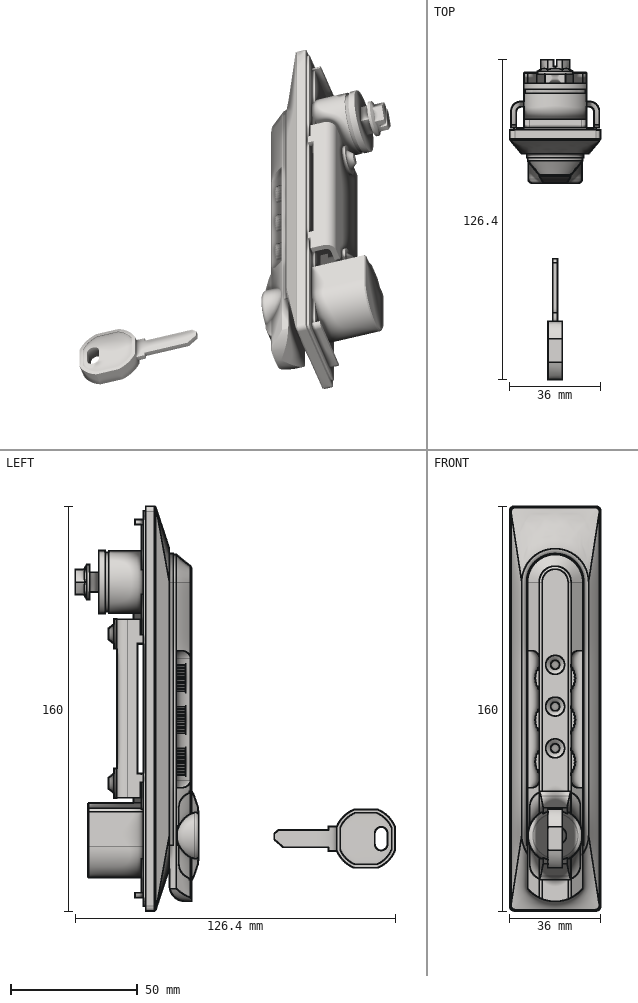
import cadquery as cq
import math


plate_width = 36.0
plate_length = 160.0
plate_corner = 2.0
rim_depth = 3.5
rim_chamfer = 0.6
crown_y = -9.4
crown_radius = 13.2
pivot_z = 50.0
back_step = 0.85
back_pad_width = 32.6
back_pad_length = 156.4
seat_y = 1.8
seat_width = 22.8
seat_inner_z = 25.8
seat_outer_z = 72.7
tab_width = 24.6
tab_height = 2.1
tab_round = 2.0
tab_y = 4.2
post_pad_y = 4.85
post_pad_outer_z = 37.6
post_radius = 4.0

sleeve_radius = 12.4
sleeve_end_y = 14.5
groove_radius = 11.8
groove_width = 1.5
cap_radius = 12.5
cap_end_y = 18.5
shank_side = 7.9
flange_y = 22.1
flange_radius = 7.0
flange_thickness = 1.1
hex_start_y = 24.3
hex_end_y = 27.8
hex_flats = 10.0
hex_slot_width = 1.2
hex_slot_depth = 2.7

box_radius = 12.4
box_center_z = -54.4
box_end_y = 22.9
box_shoulder_z = -39.3
box_crest_z = -37.3
box_crest_half = 4.1
box_crest_foot = 7.2
box_corner = 1.5
box_edge = 0.5

handle_half = 10.9
lip_half = 11.3
lip_y = -11.0
lip_end_z = -54.0
slope_y = -12.1
ridge_half = 6.3
ridge_y = -17.75
face_half = 5.1
face_y = -18.35
handle_tip_z = -76.2
handle_tip_side_z = -71.1
tip_round = 6.4

dial_count = 3
dial_pitch = 16.5
first_dial_z = 12.0
dial_radius = 8.05
dial_teeth = 36
tooth_depth = 0.4
dial_back_y = -12.2
dial_front_y = -15.7
dial_clearance = 0.15
window_shift = 5.3
window_radius = 3.75
window_floor_radius = 1.75
window_cone_depth = 2.2
pocket_top_z = 22.9
pocket_bottom_z = -31.3
pocket_corner = 3.0

knob_z = -50.2
knob_radius = 10.7
knob_round = 1.8
knob_back_y = -12.5
knob_face_y = -21.1
insert_half_width = 10.0
insert_half_length = 17.5
insert_corner = 6.0
insert_floor_y = -12.0
wing_half_width = 6.2
wing_crest_half = 11.1
wing_crest_y = -20.8
wing_foot_y = -19.2
wing_foot_half = 15.8
wing_edge = 1.5
flare_front_y = -19.0
flare_corners = [(6.2, 11.0), (8.6, 8.4), (9.9, 5.0)]
wing_root_y = -13.0
keyway_width = 1.9
keyway_length = 11.4
keyway_depth = 2.5
keyway_round_radius = 3.5

bracket_width = 35.0
bracket_length = 70.6
bracket_wall = 2.2
bracket_bend = 4.0
bracket_back_y = 11.3
bracket_edge_y = 3.1
foot_y = 2.0
toe_width = 3.4
screw_z = 29.5
screw_shank_radius = 2.0
screw_flange_radius = 5.9
screw_flange_thickness = 1.2
screw_dome_base = 3.9
screw_top_radius = 2.2
screw_top_y = 14.65
screw_tip_y = 0.5

key_z = -51.4
key_head_y = -87.05
key_head_radius = 12.45
key_head_flats = 23.1
key_head_thickness = 5.7
key_rim = 1.4
key_panel_depth = 0.3
key_blade_thickness = 1.9
key_blade_height = 6.9
key_tip_y = -50.8
key_collar_y = -72.2
key_collar_height = 9.8
key_tip_top = 2.0
key_tip_bottom = -0.3
key_tip_top_run = 1.7
key_tip_bottom_run = 3.6
key_hole_y = -93.1
key_hole_width = 4.9
key_hole_length = 9.2


def at_y(y, x=0.0, z=0.0):
    """Sketch plane facing -Y; its local axes are X and Z, and extruding moves toward -Y."""
    return cq.Workplane("XZ", origin=(x, y, z))


def box_between(x_half, y_range, z_range):
    """Box symmetric in X between two y and two z values."""
    depth = y_range[1] - y_range[0]
    height = z_range[1] - z_range[0]
    middle = (0, sum(y_range) / 2, sum(z_range) / 2)
    return cq.Workplane().box(2 * x_half, depth, height).translate(middle)


def turned(profile, z):
    """Solid of revolution about a line along Y at height z; profile lists (radius, y)."""
    flat = cq.Workplane("XY").polyline(profile).close()
    return flat.revolve(360, (0, 0, 0), (0, 1, 0)).translate((0, 0, z))


def mirrored_z(body):
    """The body together with its mirror image about the z = 0 plane."""
    return body.union(body.mirror("XY"))


def housing_crown():
    """Ruled slopes from the rectangular rim up to the round-ended front face."""
    half_x = plate_width / 2 - rim_chamfer / 2
    half_z = plate_length / 2 - rim_chamfer
    rim_y = -rim_depth - rim_chamfer
    r, zc = crown_radius, pivot_z
    base = at_y(rim_y).polyline(
        [(-half_x, -half_z), (-half_x, half_z), (half_x, half_z), (half_x, -half_z)]).close()
    top = (
        at_y(crown_y).moveTo(-r, -zc).lineTo(-r, zc).threePointArc((0, zc + r), (r, zc))
        .lineTo(r, -zc).threePointArc((0, -zc - r), (-r, -zc)).close()
    )
    loft = cq.Solid.makeLoft([base.wires().val(), top.wires().val()], True)
    outline = (
        at_y(0).rect(plate_width, plate_length).extrude(-crown_y).edges("|Y").fillet(plate_corner)
    )
    return cq.Workplane(loft).intersect(outline)


def housing_plate():
    rim = at_y(0).rect(plate_width, plate_length).extrude(rim_depth + rim_chamfer)
    rim = rim.edges("|Y").fillet(plate_corner).faces("<Y").chamfer(rim_chamfer)
    pad = at_y(back_step).rect(back_pad_width, back_pad_length).extrude(back_step)
    pad = pad.edges("|Y").fillet(plate_corner)
    return rim.union(pad).union(housing_crown())


def housing_back():
    """Seats, locating tabs and screw posts, the same at both ends."""
    seat = box_between(seat_width / 2, (0, seat_y), (seat_inner_z, seat_outer_z))
    tab = box_between(tab_width / 2, (0, tab_y), (seat_outer_z, seat_outer_z + tab_height))
    tab = tab.edges("|Y and >Z").fillet(tab_round)
    post_pad = box_between(post_radius, (0, post_pad_y), (seat_inner_z, post_pad_outer_z))
    post_end_y = bracket_back_y - bracket_wall
    post = at_y(post_end_y, z=screw_z).circle(post_radius).extrude(post_end_y)
    return mirrored_z(seat.union(tab).union(post_pad).union(post))


def screw_holes():
    depth = bracket_back_y - screw_tip_y
    return mirrored_z(at_y(bracket_back_y, z=screw_z).circle(screw_shank_radius).extrude(depth))


def lock_box():
    side_z = box_shoulder_z - box_corner
    outline = (
        at_y(box_end_y).moveTo(box_radius, box_center_z).lineTo(box_radius, side_z)
        .lineTo(box_radius - box_corner, box_shoulder_z).lineTo(box_crest_foot, box_shoulder_z)
        .lineTo(box_crest_half, box_crest_z).lineTo(-box_crest_half, box_crest_z)
        .lineTo(-box_crest_foot, box_shoulder_z).lineTo(-box_radius + box_corner, box_shoulder_z)
        .lineTo(-box_radius, side_z).lineTo(-box_radius, box_center_z)
        .threePointArc((0, box_center_z - box_radius), (box_radius, box_center_z)).close()
    )
    return outline.extrude(box_end_y).faces(">Y").chamfer(box_edge)


def spindle_end():
    """Sleeve, cap, square shank and slotted hexagon flange bolt on the pivot axis."""
    cap_start_y = sleeve_end_y + groove_width
    stack = turned([
        (0, 0), (sleeve_radius, 0), (sleeve_radius, sleeve_end_y),
        (groove_radius, sleeve_end_y), (groove_radius, cap_start_y),
        (cap_radius, cap_start_y), (cap_radius, cap_end_y),
        (0, cap_end_y)], pivot_z)
    shank = at_y(flange_y, z=pivot_z).rect(shank_side, shank_side).extrude(flange_y - cap_end_y)
    flange = turned([
        (0, flange_y), (flange_radius, flange_y), (flange_radius, flange_y + flange_thickness),
        (hex_flats / 2, hex_start_y), (0, hex_start_y)], pivot_z)
    across_corners = hex_flats / math.cos(math.pi / 6)
    hexagon = at_y(hex_end_y, z=pivot_z).polygon(6, across_corners).extrude(hex_end_y - flange_y)
    slot = at_y(hex_end_y, z=pivot_z).rect(hex_slot_width, across_corners).extrude(hex_slot_depth)
    return stack.union(shank).union(flange).union(hexagon).cut(slot)


def make_housing():
    body = housing_plate().union(housing_back()).union(lock_box()).union(spindle_end())
    return body.cut(screw_holes())


def handle_bar():
    """Ridged bar: one half section swept down the handle and turned around its top end."""
    edge = [(handle_half, slope_y), (ridge_half, ridge_y), (face_half, face_y)]
    right = [(handle_half, crown_y)] + edge
    left = [(-x, y) for x, y in reversed(right)]
    length = pivot_z - handle_tip_z
    bar = cq.Workplane("XY", origin=(0, 0, handle_tip_z)).polyline(right + left).close().extrude(length)
    top_end = turned([(0, crown_y)] + right + [(0, face_y)], pivot_z)
    lip_top = at_y(crown_y, z=pivot_z).circle(lip_half).extrude(crown_y - lip_y)
    lip_side = box_between(lip_half, (lip_y, crown_y), (lip_end_z, pivot_z))
    return bar.union(top_end).union(lip_top).union(lip_side)


def handle_tip_envelope():
    """Everything above the curved lower tip, which is bowed in front and rounded at the rear."""
    top_z = pivot_z + 2 * lip_half
    bowed = (
        at_y(crown_y).moveTo(-handle_half, handle_tip_side_z)
        .threePointArc((0, handle_tip_z), (handle_half, handle_tip_side_z))
        .lineTo(2 * handle_half, handle_tip_side_z).lineTo(2 * handle_half, top_z)
        .lineTo(-2 * handle_half, top_z).lineTo(-2 * handle_half, handle_tip_side_z).close()
        .extrude(crown_y - face_y)
    )
    rounded = box_between(2 * handle_half, (face_y, crown_y), (handle_tip_z, top_z))
    return bowed.intersect(rounded.edges("|X and >Y and <Z").fillet(tip_round))


def dial_pocket(side):
    """Flat-floored cut beside the ridge (side is +1 or -1) where the dials stick out."""
    width = 2 * handle_half
    height = pocket_top_z - pocket_bottom_z
    cut = at_y(dial_back_y, side * (ridge_half + width / 2), (pocket_top_z + pocket_bottom_z) / 2)
    cut = cut.rect(width, height).extrude(dial_back_y - face_y)
    return cut.edges("|Y").fillet(pocket_corner)


def dial_window(z):
    """Conical reading hole from the handle face down to the dial."""
    cone_end_y = face_y + window_cone_depth
    return turned([
        (0, face_y), (window_radius, face_y), (window_floor_radius, cone_end_y),
        (window_floor_radius, dial_front_y), (0, dial_front_y)], z)


def make_handle(blank, knob_solid):
    """Bar with dial pockets, dial cavities, reading windows and the opening for the knob."""
    body = blank
    for side in (-1, 1):
        body = body.cut(dial_pocket(side))
    cavity_depth = dial_back_y - dial_front_y + dial_clearance
    for z in dial_heights:
        body = body.cut(at_y(dial_back_y, z=z).circle(dial_radius + dial_clearance).extrude(cavity_depth))
        body = body.cut(dial_window(z + window_shift))
    return body.cut(knob_solid)


def make_dial(z):
    """Disc with a V-toothed rim."""
    rim = []
    for step in range(2 * dial_teeth):
        radius = dial_radius - tooth_depth * (step % 2)
        angle = math.pi * step / dial_teeth
        rim.append((radius * math.cos(angle), radius * math.sin(angle)))
    return at_y(dial_back_y, z=z).polyline(rim).close().extrude(dial_back_y - dial_front_y)


def keyway():
    """Straight slot in line with the key blade, and a half-round recess on its +X side."""
    slot = at_y(knob_face_y + keyway_depth, z=key_z).rect(keyway_width, keyway_length)
    slot = slot.extrude(keyway_depth)
    center_x = keyway_width / 2
    recess = (
        at_y(knob_face_y + keyway_depth, center_x, knob_z).moveTo(0, -keyway_round_radius)
        .threePointArc((keyway_round_radius, 0), (0, keyway_round_radius)).close()
        .extrude(keyway_depth)
    )
    return slot.union(recess)


def knob_insert(blank):
    """Round-cornered piece of the handle bar that fills the opening, flush with the handle."""
    insert = at_y(insert_floor_y, z=knob_z).rect(2 * insert_half_width, 2 * insert_half_length)
    insert = insert.extrude(insert_floor_y - face_y).edges("|Y").fillet(insert_corner)
    return insert.intersect(blank)


def knob_wings():
    """Ridge along Z with sloping ends and bevelled sides, as wide as the handle ridge."""
    right_half = [
        (face_y, insert_half_length), (wing_foot_y, wing_foot_half), (wing_crest_y, wing_crest_half)]
    left_half = [(y, -z) for y, z in reversed(right_half)]
    side_profile = (
        [(wing_root_y, insert_half_length)] + right_half + left_half + [(wing_root_y, -insert_half_length)])
    ridge = (
        cq.Workplane("YZ", origin=(-wing_half_width, 0, knob_z)).polyline(side_profile).close()
        .extrude(2 * wing_half_width)
    )
    crest_half = wing_half_width - wing_edge
    cross_section = [
        (wing_half_width, wing_root_y), (wing_half_width, face_y), (crest_half, wing_crest_y),
        (-crest_half, wing_crest_y), (-wing_half_width, face_y), (-wing_half_width, wing_root_y)]
    bevelled = (
        cq.Workplane("XY", origin=(0, 0, knob_z - insert_half_length)).polyline(cross_section).close()
        .extrude(2 * insert_half_length)
    )
    return ridge.intersect(bevelled)


def knob_flares():
    """Angled shoulders that lead from the wings into the drum, on all four sides."""
    upper = flare_corners + [(-x, z) for x, z in reversed(flare_corners)]
    lower = [(-x, -z) for x, z in upper]
    return at_y(wing_root_y, z=knob_z).polyline(upper + lower).close().extrude(wing_root_y - flare_front_y)


def make_knob(blank):
    """Flush insert carrying a round drum with two grip wings and a keyway."""
    drum = at_y(knob_back_y, z=knob_z).circle(knob_radius).extrude(knob_back_y - knob_face_y)
    drum = drum.faces("<Y").edges().fillet(knob_round)
    body = knob_insert(blank).union(knob_wings()).union(knob_flares()).union(drum)
    return body.cut(keyway())


def make_bracket():
    """Channel open toward the housing, cut back between its end feet."""
    half = bracket_length / 2
    outer = box_between(bracket_width / 2, (back_step, bracket_back_y), (-half, half))
    outer = outer.edges("|Z and >Y").fillet(bracket_bend)
    inner_half = bracket_width / 2 - bracket_wall
    inner = box_between(inner_half, (back_step, bracket_back_y - bracket_wall), (-half, half))
    inner = inner.edges("|Z and >Y").fillet(bracket_bend - bracket_wall)
    body = outer.cut(inner)
    body = body.cut(box_between(bracket_width, (back_step, bracket_edge_y), (-seat_inner_z, seat_inner_z)))
    heel = box_between(bracket_width, (back_step, foot_y), (seat_inner_z + toe_width, half))
    return body.cut(mirrored_z(heel)).cut(screw_holes())


def make_screw(z):
    """Flanged dome-head screw reaching through the bracket into a housing post."""
    flange_top_y = bracket_back_y + screw_flange_thickness
    return turned([
        (0, screw_tip_y), (screw_shank_radius, screw_tip_y), (screw_shank_radius, bracket_back_y),
        (screw_flange_radius, bracket_back_y), (screw_flange_radius, flange_top_y),
        (screw_dome_base, flange_top_y), (screw_top_radius, screw_top_y), (0, screw_top_y)], z)


def key_head_disc(margin, thickness):
    """Round disc with four flats, drawn in by a margin and centred on x = 0."""
    plane = cq.Workplane("YZ", origin=(-thickness / 2, key_head_y, key_z))
    flats = key_head_flats - 2 * margin
    square = plane.rect(flats, flats).extrude(thickness)
    return plane.circle(key_head_radius - margin).extrude(thickness).intersect(square)


def make_key():
    head = key_head_disc(0, key_head_thickness)
    panel = key_head_disc(key_rim, key_panel_depth)
    panel_x = (key_head_thickness - key_panel_depth) / 2
    for side in (-1, 1):
        head = head.cut(panel.translate((side * panel_x, 0, 0)))
    half = key_blade_height / 2
    collar = key_collar_height / 2
    blade = (
        cq.Workplane("YZ", origin=(-key_blade_thickness / 2, 0, key_z))
        .polyline([
            (key_tip_y, key_tip_bottom), (key_tip_y, key_tip_top), (key_tip_y - key_tip_top_run, half),
            (key_collar_y, half), (key_collar_y, collar), (key_head_y, collar),
            (key_head_y, -collar), (key_collar_y, -collar), (key_collar_y, -half),
            (key_tip_y - key_tip_bottom_run, -half)]).close()
        .extrude(key_blade_thickness)
    )
    hole = (
        cq.Workplane("YZ", origin=(-key_head_thickness / 2, key_hole_y, key_z))
        .slot2D(key_hole_length, key_hole_width, 90).extrude(key_head_thickness)
    )
    return head.union(blade).cut(hole)


dial_heights = [first_dial_z - dial_pitch * index for index in range(dial_count)]
handle_blank = handle_bar().intersect(handle_tip_envelope())
knob = make_knob(handle_blank)
housing = make_housing()
handle = make_handle(handle_blank, knob)
dials = [make_dial(z) for z in dial_heights]
bracket = make_bracket()
screws = [make_screw(screw_z)]
screws.append(screws[0].mirror("XY"))
key = make_key()

bodies = [housing, handle, knob, *dials, bracket, *screws, key]
result = cq.Compound.makeCompound([body.solids().val() for body in bodies])